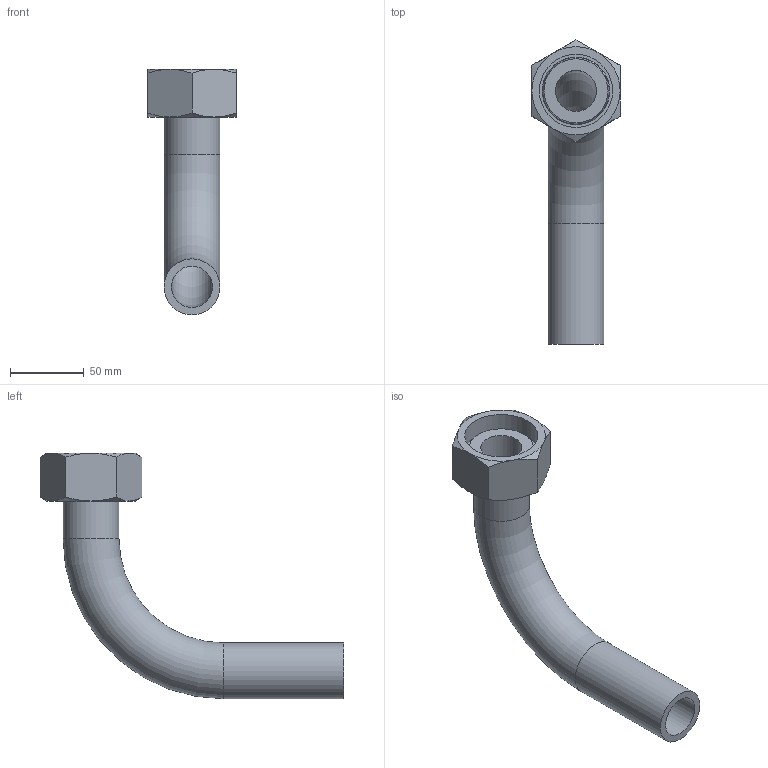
import cadquery as cq
import math

tube_diameter = 38.0
bore_diameter = 28.0
bend_radius = 90.0
tube_reach = 172.0
nut_top = 148.0

nut_width = 60.0
nut_height = 32.5
chamfer_circle = nut_width
chamfer_angle = 30.0
thread_diameter = 49.84

cone_face_diameter = 43.6
cone_foot_diameter = 45.0
cone_half_angle = 12.0
shoulder_diameter = 46.0
cone_recess = 9.8

nut_bottom = nut_top - nut_height
cone_face = nut_top - cone_recess
cone_height = (cone_foot_diameter - cone_face_diameter) / 2 / math.tan(math.radians(cone_half_angle))
cone_foot = cone_face - cone_height
shoulder_height = (shoulder_diameter - cone_foot_diameter) / 2
recess_floor = cone_foot - shoulder_height
corner_radius = nut_width / math.sqrt(3)


def swept_rod(diameter):
    """Solid round rod along the tube's centreline."""
    path = (
        cq.Workplane("YZ")
        .moveTo(-tube_reach, 0)
        .lineTo(-bend_radius, 0)
        .radiusArc((0, bend_radius), -bend_radius)
        .lineTo(0, cone_face)
    )
    profile = cq.Workplane("XZ", origin=(0, -tube_reach, 0)).circle(diameter / 2)
    return profile.sweep(path)


def chamfer_envelope():
    """Turned body whose two cones cut the corners of the hexagon."""
    end_radius = chamfer_circle / 2
    drop = (corner_radius - end_radius) * math.tan(math.radians(chamfer_angle))
    return (
        cq.Workplane("XZ")
        .moveTo(0, nut_bottom)
        .lineTo(end_radius, nut_bottom)
        .lineTo(corner_radius, nut_bottom + drop)
        .lineTo(corner_radius, nut_top - drop)
        .lineTo(end_radius, nut_top)
        .lineTo(0, nut_top)
        .close()
        .revolve(360, (0, 0, 0), (0, 1, 0))
    )


def union_nut():
    """Hexagon with flats facing +X and -X, chamfered corners and an open threaded recess."""
    hexagon = (
        cq.Workplane("XY", origin=(0, 0, nut_bottom))
        .transformed(rotate=(0, 0, 90))
        .polygon(6, 2 * corner_radius)
        .extrude(nut_height)
    )
    recess = (
        cq.Workplane("XY", origin=(0, 0, recess_floor))
        .circle(thread_diameter / 2)
        .extrude(nut_top - recess_floor)
    )
    return hexagon.intersect(chamfer_envelope()).cut(recess)


def sealing_cone():
    """Tapered tube end rising from a shoulder on the recess floor to a flat face."""
    return (
        cq.Workplane("XZ")
        .moveTo(0, recess_floor)
        .lineTo(shoulder_diameter / 2, recess_floor)
        .lineTo(cone_foot_diameter / 2, cone_foot)
        .lineTo(cone_face_diameter / 2, cone_face)
        .lineTo(0, cone_face)
        .close()
        .revolve(360, (0, 0, 0), (0, 1, 0))
    )


result = (
    union_nut()
    .union(sealing_cone())
    .union(swept_rod(tube_diameter))
    .cut(swept_rod(bore_diameter))
)